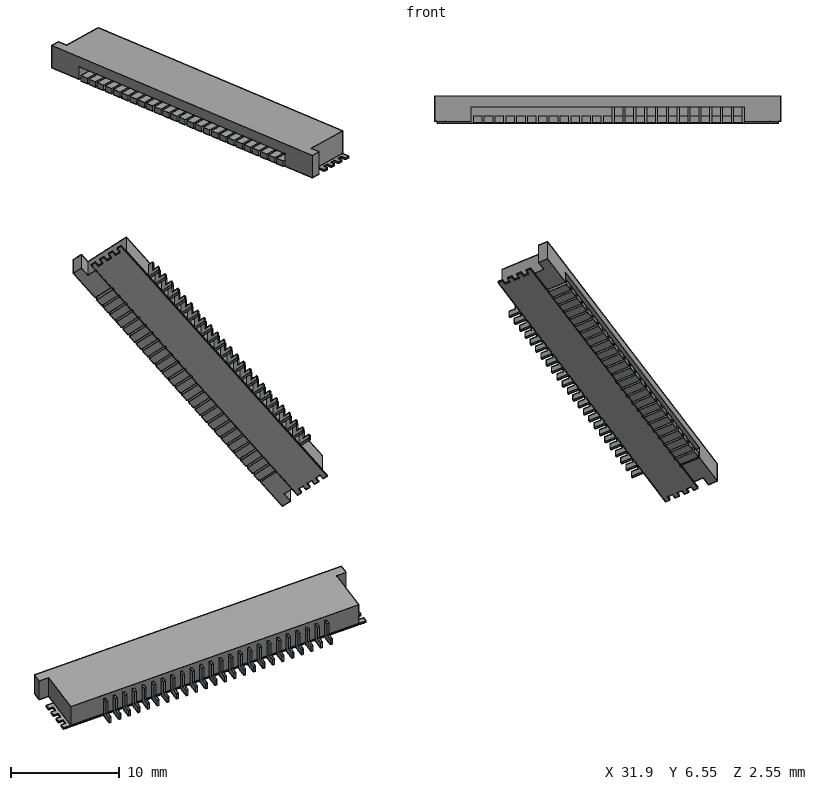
import cadquery as cq


length = 31.92
depth = 6.55
height = 2.55

contact_count = 24
contact_row_span = 22.98
contact_pitch = contact_row_span / (contact_count - 1)
contact_width = 0.207
stem_projection = 0.48
stem_top = 2.07
foot_projection = 1.15
foot_height = 0.67

housing_length = 29.95
housing_back = depth - foot_projection
bar_depth = 0.95
housing_bottom = 0.2

opening_length = (contact_count + 1) * contact_pitch + contact_width
opening_depth = 1.9
opening_top = 1.53
tooth_bottom = 0.1
tooth_top = 0.67
tooth_width = contact_pitch - contact_width
groove_depth = 0.1

plate_length = 31.47
plate_front = opening_depth
plate_tooth_length = 0.48
plate_tooth_width = 0.48
plate_tooth_pitch = 1.0
plate_tooth_count = 4
plate_gap_count = plate_tooth_count - 1
plate_depth = plate_gap_count * plate_tooth_pitch + plate_tooth_width


def block(x_size, y_range, z_range, x_center=0.0):
    """Box centred on x_center that spans the given Y and Z ranges."""
    y_start, y_end = y_range
    z_start, z_end = z_range
    return (
        cq.Workplane("XY")
        .box(x_size, y_end - y_start, z_end - z_start, centered=(True, False, False))
        .translate((x_center, y_start, z_start))
    )


def row_positions(count):
    """X positions of a row at the contact pitch, centred on X = 0."""
    return [(i - (count - 1) / 2) * contact_pitch for i in range(count)]


def make_housing():
    """Housing with a longer bar across its front and the cable opening cut in from below."""
    z_range = (housing_bottom, height)
    housing = block(housing_length, (0, housing_back), z_range)
    housing = housing.union(block(length, (0, bar_depth), z_range))
    return housing.cut(block(opening_length, (0, opening_depth), (housing_bottom, opening_top)))


def make_solder_plate():
    """Thin plate whose two ends are notched into solder teeth."""
    plate_back = plate_front + plate_depth
    z_range = (0, housing_bottom)
    plate = block(plate_length, (plate_front, plate_back), z_range)
    notch_width = plate_tooth_pitch - plate_tooth_width
    notch_x = (plate_length - plate_tooth_length) / 2
    for i in range(plate_gap_count):
        notch_start = plate_front + i * plate_tooth_pitch + plate_tooth_width
        notch_range = (notch_start, notch_start + notch_width)
        for side in (-1, 1):
            plate = plate.cut(block(plate_tooth_length, notch_range, z_range, side * notch_x))
    return plate


def make_comb_teeth():
    """Teeth standing between and beside the contacts, rooted in the housing."""
    return [
        block(tooth_width, (0, opening_depth), (tooth_bottom, tooth_top), x)
        for x in row_positions(contact_count + 1)
    ]


def make_contact_tail(x):
    """L-shaped tail behind the housing: upright stem and solder foot."""
    stem = block(contact_width, (housing_back, housing_back + stem_projection), (0, stem_top), x)
    foot = block(contact_width, (housing_back, depth), (0, foot_height), x)
    return stem.union(foot)


def make_wall_groove(x):
    """Cutter for a contact-wide vertical groove in the back wall of the opening."""
    groove_back = opening_depth + groove_depth
    return block(contact_width, (opening_depth, groove_back), (0, opening_top), x)


result = make_housing().union(make_solder_plate())

for groove_x in row_positions(contact_count + 2):
    if groove_x > 0:
        result = result.cut(make_wall_groove(groove_x))

for tooth in make_comb_teeth():
    result = result.union(tooth)

for contact_x in row_positions(contact_count):
    result = result.union(make_contact_tail(contact_x))